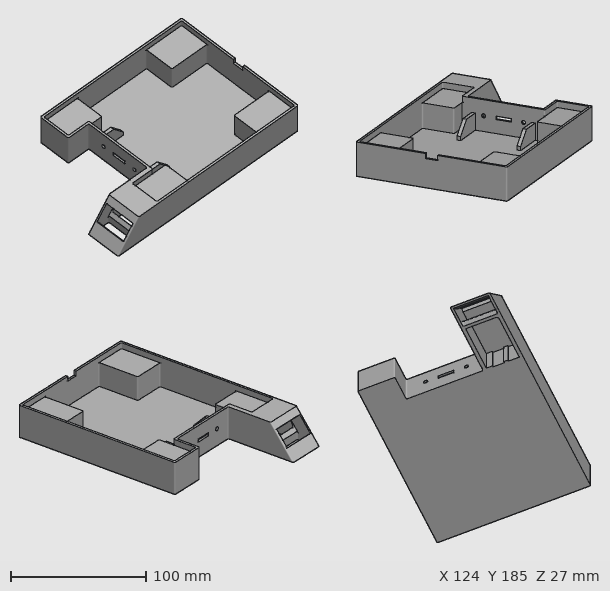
import cadquery as cq

WIDTH = 124.0
LENGTH = 185.0
HEIGHT = 27.0
WALL = 2.0
FLOOR = 2.0
CORNER_RADIUS = 1.0
CENTER_X = WIDTH / 2

LEG_FRONT_Y = 39.7
LEG_RIGHT_X = 30.0
BAY_Y = 60.6
ARM_WIDTH = 32.0
ARM_LEFT_X = WIDTH - ARM_WIDTH
ARM_SLOPE_RUN = 21.2

TRAY_LEFT = WALL
TRAY_RIGHT = WIDTH - WALL
TRAY_FRONT = LEG_FRONT_Y + WALL
TRAY_BACK = LENGTH - WALL
BAY_INNER_Y = BAY_Y + WALL
BAY_LEFT_X = LEG_RIGHT_X - WALL
BAY_RIGHT_X = WIDTH - BAY_LEFT_X
BLOCK_TOP = 22.0
FRONT_BLOCK_BACK_Y = 76.0
REAR_BLOCK_WIDTH = 27.0
REAR_BLOCK_LENGTH = 36.0

BACK_NOTCH_WIDTH = 10.0
BACK_NOTCH_DEPTH = 4.0

OPENING_Z = 14.3
PIN_HOLE_DIAMETER = 3.1
PIN_HOLE_OFFSET = 16.4
SLOT_WIDTH = 12.5
SLOT_HEIGHT = 2.6

RIB_THICKNESS = 3.0
RIB_OFFSET = 24.6
RIB_FLAT_LENGTH = 15.0
RIB_LENGTH = 25.0
RIB_TOP = 15.5
RIB_END_TOP = 5.2

ARM_PLATE = 1.5
ARM_CEILING = BLOCK_TOP - WALL
FRONT_CAVITY_LEFT = ARM_LEFT_X + WALL
PARTITION_FRONT_Y = 19.3
PARTITION_THICKNESS = 2.6
PARTITION_BACK_Y = PARTITION_FRONT_Y + PARTITION_THICKNESS
SEAT_SHIFT_Y = 13.75
REAR_CAVITY_LEFT = 95.0
REAR_CAVITY_RIGHT = 121.2
REAR_CAVITY_RIGHT_RADIUS = 2.0
REAR_CAVITY_BACK_Y = BAY_Y

STRIP_DEPTH = 1.0
BACK_STRIPS = [(REAR_CAVITY_LEFT, 100.0), (109.1, 112.4)]

WINDOW_BOTTOM_Z = 9.2
WINDOW_TOP_Z = 21.7

SLOPE_LENGTH = (ARM_SLOPE_RUN**2 + HEIGHT**2) ** 0.5
SLOPE_INWARD_Y = HEIGHT / SLOPE_LENGTH
SLOPE_INWARD_Z = -ARM_SLOPE_RUN / SLOPE_LENGTH


def slope_y(z, shift=0.0):
    """Y of the sloping arm face at height z, moved back by shift along Y."""
    return z * ARM_SLOPE_RUN / HEIGHT + shift


def box(x0, x1, y0, y1, z0, z1):
    return cq.Workplane("XY").box(x1 - x0, y1 - y0, z1 - z0, centered=False).translate((x0, y0, z0))


def side_prism(points_yz, x0, x1):
    """Extrude a Y-Z profile along X from x0 to x1."""
    return cq.Workplane("YZ").workplane(offset=x0).polyline(points_yz).close().extrude(x1 - x0)


def make_body():
    outline = [
        (0, LEG_FRONT_Y),
        (LEG_RIGHT_X, LEG_FRONT_Y),
        (LEG_RIGHT_X, BAY_Y),
        (ARM_LEFT_X, BAY_Y),
        (ARM_LEFT_X, 0),
        (WIDTH, 0),
        (WIDTH, LENGTH),
        (0, LENGTH),
    ]
    body = cq.Workplane("XY").polyline(outline).close().extrude(HEIGHT)
    wedge = side_prism([(0, 0), (slope_y(HEIGHT), HEIGHT), (0, HEIGHT)], 0, WIDTH)
    body = body.cut(wedge)
    slope_edges = cq.selectors.ParallelDirSelector(cq.Vector(0, ARM_SLOPE_RUN, HEIGHT))
    upright_edges = cq.selectors.ParallelDirSelector(cq.Vector(0, 0, 1))
    return body.edges(slope_edges + upright_edges).fillet(CORNER_RADIUS)


def make_tray_recess():
    upper_outline = [
        (TRAY_LEFT, TRAY_FRONT),
        (BAY_LEFT_X, TRAY_FRONT),
        (BAY_LEFT_X, BAY_INNER_Y),
        (BAY_RIGHT_X, BAY_INNER_Y),
        (BAY_RIGHT_X, TRAY_FRONT),
        (TRAY_RIGHT, TRAY_FRONT),
        (TRAY_RIGHT, TRAY_BACK),
        (TRAY_LEFT, TRAY_BACK),
    ]
    rear_block_y = TRAY_BACK - REAR_BLOCK_LENGTH
    rear_left_x = TRAY_LEFT + REAR_BLOCK_WIDTH
    rear_right_x = TRAY_RIGHT - REAR_BLOCK_WIDTH
    lower_outline = [
        (BAY_LEFT_X, BAY_INNER_Y),
        (BAY_RIGHT_X, BAY_INNER_Y),
        (BAY_RIGHT_X, FRONT_BLOCK_BACK_Y),
        (TRAY_RIGHT, FRONT_BLOCK_BACK_Y),
        (TRAY_RIGHT, rear_block_y),
        (rear_right_x, rear_block_y),
        (rear_right_x, TRAY_BACK),
        (rear_left_x, TRAY_BACK),
        (rear_left_x, rear_block_y),
        (TRAY_LEFT, rear_block_y),
        (TRAY_LEFT, FRONT_BLOCK_BACK_Y),
        (BAY_LEFT_X, FRONT_BLOCK_BACK_Y),
    ]
    upper = cq.Workplane("XY").workplane(offset=BLOCK_TOP).polyline(upper_outline).close()
    upper = upper.extrude(HEIGHT - BLOCK_TOP).edges("|Z").fillet(CORNER_RADIUS)
    lower = cq.Workplane("XY").workplane(offset=FLOOR).polyline(lower_outline).close()
    lower = lower.extrude(BLOCK_TOP - FLOOR).edges("|Z and (not <Y)").fillet(CORNER_RADIUS)
    return upper.union(lower)


def make_back_notch():
    half = BACK_NOTCH_WIDTH / 2
    return box(CENTER_X - half, CENTER_X + half, TRAY_BACK, LENGTH, HEIGHT - BACK_NOTCH_DEPTH, HEIGHT)


def make_bay_openings():
    half = SLOT_WIDTH / 2
    slot_bottom = OPENING_Z - SLOT_HEIGHT / 2
    cutter = box(CENTER_X - half, CENTER_X + half, BAY_Y, BAY_INNER_Y, slot_bottom, slot_bottom + SLOT_HEIGHT)
    for side in (-1, 1):
        hole = cq.Workplane("XZ", origin=(CENTER_X + side * PIN_HOLE_OFFSET, BAY_INNER_Y, OPENING_Z))
        cutter = cutter.union(hole.circle(PIN_HOLE_DIAMETER / 2).extrude(WALL))
    return cutter


def make_rib(center_x):
    end_y = BAY_INNER_Y + RIB_LENGTH
    profile = [
        (BAY_Y + WALL / 2, FLOOR / 2),
        (end_y, FLOOR / 2),
        (end_y, RIB_END_TOP),
        (BAY_INNER_Y + RIB_FLAT_LENGTH, RIB_TOP),
        (BAY_Y + WALL / 2, RIB_TOP),
    ]
    return side_prism(profile, center_x - RIB_THICKNESS / 2, center_x + RIB_THICKNESS / 2)


def make_arm_hollow():
    plate_shift = ARM_PLATE / SLOPE_INWARD_Y
    partition_top = (PARTITION_FRONT_Y - SEAT_SHIFT_Y) * HEIGHT / ARM_SLOPE_RUN
    front_profile = [
        (slope_y(0, plate_shift), 0),
        (PARTITION_FRONT_Y, 0),
        (PARTITION_FRONT_Y, partition_top),
        (slope_y(ARM_CEILING, SEAT_SHIFT_Y), ARM_CEILING),
        (slope_y(ARM_CEILING, plate_shift), ARM_CEILING),
    ]
    front = side_prism(front_profile, FRONT_CAVITY_LEFT, TRAY_RIGHT)
    front = front.edges("|Z").fillet(CORNER_RADIUS)
    rear = box(REAR_CAVITY_LEFT, REAR_CAVITY_RIGHT, PARTITION_BACK_Y, REAR_CAVITY_BACK_Y, 0, ARM_CEILING)
    rear = rear.edges("|Z and <Y and <X").fillet(CORNER_RADIUS)
    rear = rear.edges("|Z and <Y and >X").fillet(REAR_CAVITY_RIGHT_RADIUS)
    for left, right in BACK_STRIPS:
        strip = box(left, right, REAR_CAVITY_BACK_Y - STRIP_DEPTH, REAR_CAVITY_BACK_Y, 0, ARM_CEILING)
        rear = rear.cut(strip)
    return front.union(rear)


def make_window():
    """Opening cut square to the slope, deep enough to pass through the sloping plate."""
    depth = 2 * WALL
    bottom = (slope_y(WINDOW_BOTTOM_Z), WINDOW_BOTTOM_Z)
    top = (slope_y(WINDOW_TOP_Z), WINDOW_TOP_Z)
    inward = (depth * SLOPE_INWARD_Y, depth * SLOPE_INWARD_Z)
    profile = [
        bottom,
        (bottom[0] + inward[0], bottom[1] + inward[1]),
        (top[0] + inward[0], top[1] + inward[1]),
        top,
    ]
    return side_prism(profile, FRONT_CAVITY_LEFT, TRAY_RIGHT)


result = make_body().cut(make_tray_recess())
for rib_side in (-1, 1):
    result = result.union(make_rib(CENTER_X + rib_side * RIB_OFFSET))
result = result.cut(make_back_notch()).cut(make_bay_openings())
result = result.cut(make_arm_hollow()).cut(make_window())